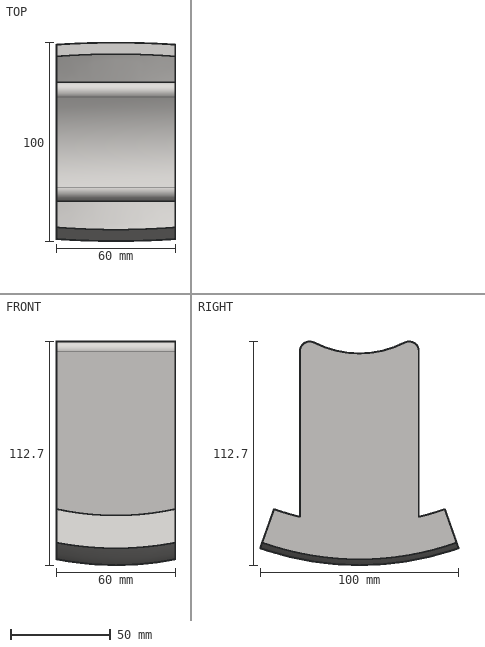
import cadquery as cq
import math

neck_size = 60.0
overall_height = 112.7
foot_length = 100.0
outer_radius = 150.0
foot_thickness = 17.5
lip_radius = 5.0
saddle_radius = 50.0

inner_radius = outer_radius - foot_thickness
half_neck = neck_size / 2
foot_half_angle = math.asin(foot_length / 2 / outer_radius)
crest_z = overall_height - outer_radius
lip_y = half_neck - lip_radius
lip_z = crest_z - lip_radius
saddle_center_z = lip_z + math.sqrt((saddle_radius + lip_radius) ** 2 - lip_y**2)
saddle_bottom_z = saddle_center_z - saddle_radius


def make_neck():
    """Square neck with a concave saddle on top, reaching down past the underside."""
    touch_ratio = saddle_radius / (saddle_radius + lip_radius)
    touch_y = lip_y * touch_ratio
    touch_z = saddle_center_z + (lip_z - saddle_center_z) * touch_ratio
    return (
        cq.Workplane("YZ")
        .moveTo(-half_neck, -outer_radius)
        .lineTo(half_neck, -outer_radius)
        .lineTo(half_neck, lip_z)
        .radiusArc((touch_y, touch_z), -lip_radius)
        .threePointArc((0, saddle_bottom_z), (-touch_y, touch_z))
        .radiusArc((-half_neck, lip_z), -lip_radius)
        .close()
        .extrude(half_neck, both=True)
    )


def make_foot_wedge():
    """Wedge between the two end planes, which meet at the sphere centre."""
    half_width = outer_radius * math.tan(foot_half_angle)
    return (
        cq.Workplane("YZ")
        .polyline([(0, 0), (half_width, -outer_radius), (-half_width, -outer_radius)])
        .close()
        .extrude(half_neck, both=True)
    )


outer_sphere = cq.Workplane("XY").sphere(outer_radius)
inner_sphere = cq.Workplane("XY").sphere(inner_radius)

foot = make_foot_wedge().intersect(outer_sphere).cut(inner_sphere)
neck = make_neck().intersect(outer_sphere)

result = neck.union(foot).translate((0, 0, outer_radius))